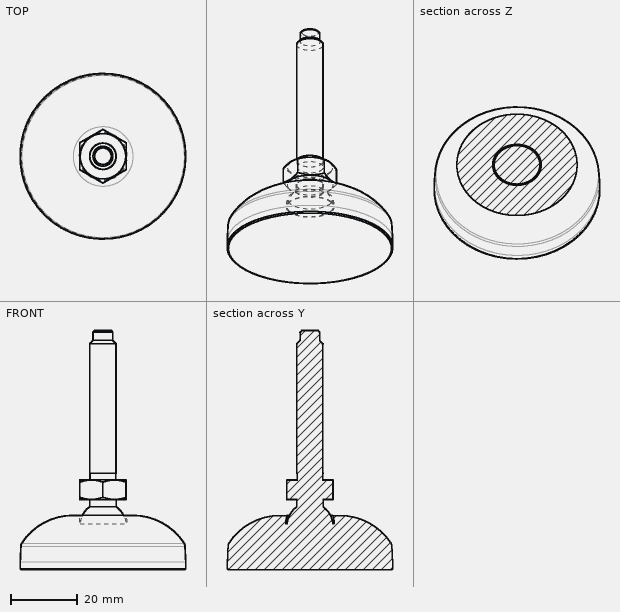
import cadquery as cq
import math


base_radius = 25.0
base_height = 16.5
bottom_chamfer = 0.4
rim_height = 2.5
wall_top_radius = 24.75
dome_flat_radius = 9.0
dome_radius = 18.5
shoulder_fillet = 1.8

ball_radius = 14.0 / 2
socket_radius = 14.5 / 2
socket_mouth_radius = 13.6 / 2
socket_center_z = base_height - math.sqrt(socket_radius**2 - socket_mouth_radius**2)
ball_center_z = 13.35

hex_sides = 6
half_side_angle = 180.0 / hex_sides
hex_across_flats = 14.0
hex_bottom_z = 21.2
hex_height = 6.0
hex_top_z = hex_bottom_z + hex_height
hex_face_radius = 13.7 / 2
hex_chamfer_angle = 30.0

stud_top_z = 72.2
stud_radius = 8.0 / 2
thread_bottom_z = 29.2
lower_neck_radius = 8.06 / 2
upper_neck_radius = 7.86 / 2
tip_radius = 6.0 / 2
tip_length = 3.0
tip_chamfer = 0.5
thread_chamfer = stud_radius - tip_radius


def make_cylinder(radius, bottom_z, top_z):
    return cq.Workplane("XY", origin=(0, 0, bottom_z)).circle(radius).extrude(top_z - bottom_z)


def make_base():
    dome_run = wall_top_radius - dome_flat_radius
    dome_center_z = base_height - dome_radius
    dome_mid_angle = math.asin(dome_run / dome_radius) / 2
    dome_mid = (
        dome_flat_radius + dome_radius * math.sin(dome_mid_angle),
        dome_center_z + dome_radius * math.cos(dome_mid_angle),
    )
    dome_end = (wall_top_radius, dome_center_z + math.sqrt(dome_radius**2 - dome_run**2))
    profile = (
        cq.Workplane("XZ")
        .lineTo(base_radius - bottom_chamfer, 0)
        .lineTo(base_radius, bottom_chamfer)
        .lineTo(base_radius, rim_height)
        .lineTo(*dome_end)
        .threePointArc(dome_mid, (dome_flat_radius, base_height))
        .lineTo(0, base_height)
        .close()
    )
    base = profile.revolve(360, (0, 0, 0), (0, 1, 0))
    shoulder_edge = cq.selectors.NearestToPointSelector((0, 0, dome_end[1]))
    return base.edges("%CIRCLE").edges(shoulder_edge).fillet(shoulder_fillet)


def make_socket():
    """Upper half of the socket sphere, so the ball stays joined to the base below it."""
    sphere = cq.Workplane("XY").sphere(socket_radius)
    upper_half = make_cylinder(socket_radius, 0, socket_radius)
    return sphere.intersect(upper_half).translate((0, 0, socket_center_z))


def make_hexagon():
    corner_radius = hex_across_flats / 2 / math.cos(math.radians(half_side_angle))
    chamfer_drop = (corner_radius - hex_face_radius) * math.tan(math.radians(hex_chamfer_angle))
    hexagon = (
        cq.Workplane("XY", origin=(0, 0, hex_bottom_z))
        .transformed(rotate=(0, 0, half_side_angle))
        .polygon(hex_sides, 2 * corner_radius)
        .extrude(hex_height)
    )
    chamfered_blank = (
        make_cylinder(corner_radius, hex_bottom_z, hex_top_z)
        .faces("<Z or >Z")
        .chamfer(chamfer_drop, corner_radius - hex_face_radius)
    )
    return hexagon.intersect(chamfered_blank)


def make_stud():
    lower_neck = make_cylinder(lower_neck_radius, ball_center_z, hex_bottom_z)
    upper_neck = make_cylinder(upper_neck_radius, hex_bottom_z, thread_bottom_z)
    thread_top_z = stud_top_z - tip_length
    thread = make_cylinder(stud_radius, thread_bottom_z, thread_top_z).faces(">Z").chamfer(thread_chamfer)
    tip = make_cylinder(tip_radius, thread_top_z, stud_top_z).faces(">Z").chamfer(tip_chamfer)
    ball = cq.Workplane("XY").sphere(ball_radius).translate((0, 0, ball_center_z))
    shank = lower_neck.union(upper_neck).union(thread).union(tip)
    return ball.union(shank).union(make_hexagon())


result = make_base().cut(make_socket()).union(make_stud())